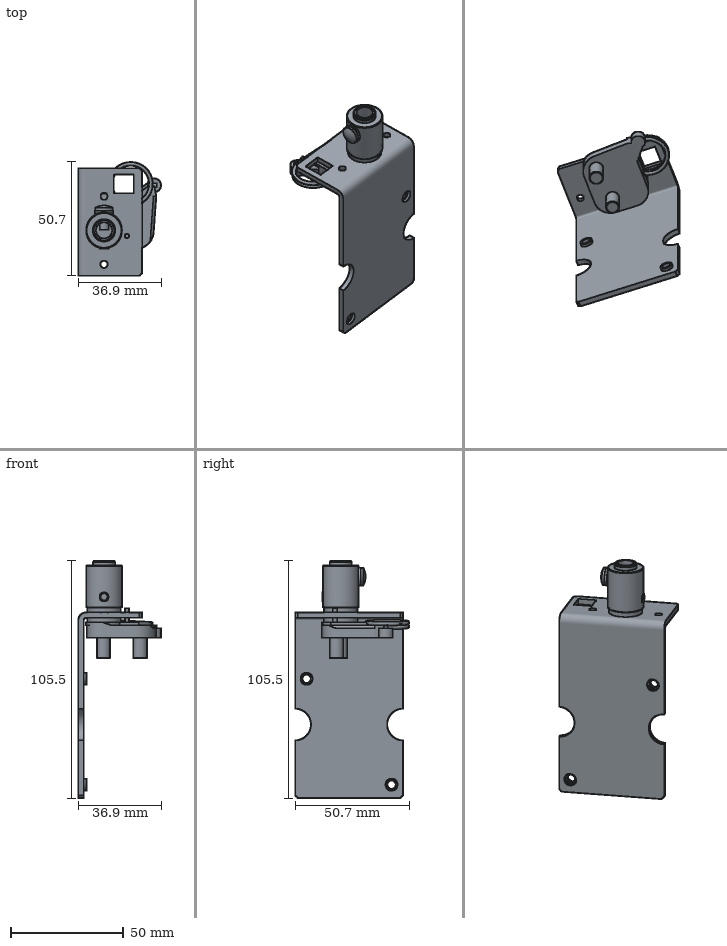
import cadquery as cq
import math


overall_height = 105.5
width = 48.0
half_width = width / 2
sheet = 2.5
bend_inner_radius = 1.0
bend_outer_radius = bend_inner_radius + sheet
flange_length = 28.4
corner_chamfer = 1.2

axis_x = 11.5
axis_y = -3.7
barrel_radius = 8.0
barrel_bottom = 2.35
barrel_top = 20.9
barrel_chamfer = 0.3
neck_radius = 7.5
nose_radius = 5.0
nose_top = 22.9
nose_chamfer = 0.5
bore_radius = 3.6
bore_floor = 11.9
washer_radius = 8.2

plate_bottom = nose_top - overall_height

cap_screw_z = 15.9
cap_head_radius = 3.95
cap_washer_radius = 4.05
cap_washer_top = 5.1
cap_seat_sink = 0.3
cap_head_seat = axis_y + barrel_radius - cap_seat_sink
cap_head_rim = 6.3
cap_dome_top = 7.4
cap_shank_radius = 2.0
cap_shank_end = -3.5
set_screw_z = 6.9
set_screw_radius = 2.0
set_screw_proud = 0.2
set_screw_length = 3.0
set_screw_socket_radius = 1.6
set_screw_socket_depth = 0.3

bolt_hole_radius = 1.55
bolt_hole_spacing = 30.2
window_x = (15.9, 24.7)
window_y = (12.9, 21.1)
index_pin_x = 21.7
index_pin_y = -6.2
index_pin_radius = 0.95
index_pin_top = 1.9

notch_radius = 7.0
notch_z = -49.9
nut_positions = ((-18.9, -29.55), (18.9, -76.65))
nut_radius = 2.7
nut_proud = 1.25
nut_hole_radius = 1.85
nut_recess_depth = 1.5

lever_bottom = -11.3
lever_top = -5.8
pad_top = -4.5
lever_south = -12.1
hub_x = 11.25
hub_radius = 7.45
lever_north = 12.7
corner_radius = 8.4
corner_x = 25.3
east_edge_end = (34.8, 11.4)
lug_x = 33.79
lug_y = 16.35
lug_radius = 3.1
lug_top = -7.0
lug_shoulder = (31.6, 17.9)
lever_knee_x = 24.4
lever_chamfer = 1.3
east_bevel_run_out = 6.0
pad_end_x = 27.0
ramp_end_x = 14.9
ramp_depth = 4.0

pin_bottom = -20.5
pin_chamfer = 0.3
outer_pin_x = 27.55
outer_pin_y = -5.6
pin_radii = (2.95, 3.1)
pin_positions = ((hub_x, axis_y), (outer_pin_x, outer_pin_y))

ring_x = 23.4
ring_y = 16.94
wire_radius = 0.85
ring_outer_radius = 9.8
ring_top = -3.75
coil_pitch = 1.65
ring_tilt = 3.0
peg_radius = 0.95
peg_start_x = 31.0
peg_length = 3.9
peg_z = -6.65


def cylinder_z(x, y, z_low, z_high, radius):
    return cq.Workplane("XY", origin=(x, y, z_low)).circle(radius).extrude(z_high - z_low)


def cylinder_x(x, y, z, length, radius):
    return cq.Workplane("YZ", origin=(x, y, z)).circle(radius).extrude(length)


def cylinder_y(x, y_low, y_high, z, radius):
    return cq.Workplane("XZ", origin=(x, y_high, z)).circle(radius).extrude(y_high - y_low)


def block(x_range, y_range, z_range):
    size = [high - low for low, high in (x_range, y_range, z_range)]
    corner = (x_range[0], y_range[0], z_range[0])
    return cq.Workplane("XY", origin=corner).box(*size, centered=False)


def make_bracket():
    profile = (
        cq.Workplane("XZ", origin=(0, half_width, 0))
        .moveTo(0, plate_bottom)
        .lineTo(0, -bend_outer_radius)
        .radiusArc((bend_outer_radius, 0), bend_outer_radius)
        .lineTo(flange_length, 0)
        .lineTo(flange_length, -sheet)
        .lineTo(bend_outer_radius, -sheet)
        .radiusArc((sheet, -bend_outer_radius), -bend_inner_radius)
        .lineTo(sheet, plate_bottom)
        .close()
        .extrude(width)
    )
    bracket = profile.faces(">X").edges("|Z").chamfer(corner_chamfer)
    bracket = bracket.faces("<Z").edges("|X").chamfer(corner_chamfer)
    for side in (-1, 1):
        bracket = bracket.cut(cylinder_x(0, side * half_width, notch_z, sheet, notch_radius))
        hole_y = axis_y + side * bolt_hole_spacing / 2
        bracket = bracket.cut(cylinder_z(axis_x, hole_y, -sheet, 0, bolt_hole_radius))
    bracket = bracket.cut(block(window_x, window_y, (-sheet, 0)))
    for y, z in nut_positions:
        bracket = bracket.union(cylinder_x(sheet, y, z, nut_proud, nut_radius))
        bracket = bracket.cut(cylinder_x(0, y, z, nut_recess_depth, nut_radius))
        bracket = bracket.cut(cylinder_x(0, y, z, sheet + nut_proud, nut_hole_radius))
    return bracket


def make_cap_screw():
    rise = cap_dome_top - cap_head_rim
    dome_radius = (cap_head_radius**2 + rise**2) / (2 * rise)
    head = (
        cq.Workplane("XY", origin=(axis_x, 0, cap_screw_z))
        .moveTo(0, cap_head_seat)
        .lineTo(cap_head_radius, cap_head_seat)
        .lineTo(cap_head_radius, cap_head_rim)
        .radiusArc((0, cap_dome_top), -dome_radius)
        .close()
        .revolve(360, (0, 0, 0), (0, 1, 0))
    )
    shank = cylinder_y(axis_x, cap_shank_end, cap_head_seat, cap_screw_z, cap_shank_radius)
    washer = cylinder_y(axis_x, cap_head_seat, cap_washer_top, cap_screw_z, cap_washer_radius)
    return head.union(shank).union(washer)


def make_set_screw():
    tip = axis_y - barrel_radius - set_screw_proud
    screw = cylinder_y(axis_x, tip, tip + set_screw_length, set_screw_z, set_screw_radius)
    socket_end = tip + set_screw_socket_depth
    return screw.cut(cylinder_y(axis_x, tip, socket_end, set_screw_z, set_screw_socket_radius))


def make_barrel():
    neck = cylinder_z(axis_x, axis_y, pad_top, barrel_bottom, neck_radius)
    neck = neck.faces(">Z").edges().chamfer(barrel_chamfer)
    body = cylinder_z(axis_x, axis_y, barrel_bottom, barrel_top, barrel_radius)
    body = body.faces(">Z").edges().chamfer(barrel_chamfer)
    nose = cylinder_z(axis_x, axis_y, barrel_top, nose_top, nose_radius)
    nose = nose.faces(">Z").edges().chamfer(nose_chamfer)
    washer = cylinder_z(axis_x, axis_y, lever_top, pad_top, washer_radius)
    barrel = neck.union(body).union(nose).union(washer)
    barrel = barrel.cut(cylinder_z(axis_x, axis_y, bore_floor, nose_top, bore_radius))
    return barrel.union(make_cap_screw()).union(make_set_screw())


def lever_outline(z):
    diagonal = math.sqrt(0.5)
    south_y = lever_south + hub_radius
    north_y = lever_north - hub_radius
    corner_y = lever_south + corner_radius
    return (
        cq.Workplane("XY", origin=(0, 0, z))
        .moveTo(hub_x, lever_south)
        .lineTo(corner_x, lever_south)
        .threePointArc(
            (corner_x + corner_radius * diagonal, corner_y - corner_radius * diagonal),
            (corner_x + corner_radius, corner_y),
        )
        .lineTo(*east_edge_end)
        .lineTo(lug_x, lug_y)
        .lineTo(*lug_shoulder)
        .lineTo(lever_knee_x, lever_north)
        .lineTo(hub_x, lever_north)
        .radiusArc((hub_x - hub_radius, north_y), -hub_radius)
        .lineTo(hub_x - hub_radius, south_y)
        .radiusArc((hub_x, lever_south), -hub_radius)
        .close()
    )


def bevel(start, end, run_out=0):
    """Wedge that bevels the lever's top edge; the lever lies to the left going from start to end.

    The wedge begins run_out before the start point, along the same line.
    """
    run = cq.Vector(end[0] - start[0], end[1] - start[1], 0)
    outward = cq.Vector(run.y, -run.x, 0)
    plane = cq.Plane(origin=(start[0], start[1], lever_top), xDir=outward, normal=run)
    corners = [
        (-lever_chamfer, 0),
        (lever_chamfer, 0),
        (lever_chamfer, 2 * lever_chamfer),
    ]
    wedge = cq.Workplane(plane).workplane(offset=-run_out).polyline(corners).close()
    return wedge.extrude(run.Length + run_out)


def make_lever():
    lever = lever_outline(lever_bottom).extrude(lever_top - lever_bottom)
    east_start = (corner_x + corner_radius, lever_south + corner_radius)
    lever = lever.cut(bevel(east_start, east_edge_end, east_bevel_run_out))
    lever = lever.cut(bevel(lug_shoulder, (lever_knee_x, lever_north)))
    lug = cylinder_z(lug_x, lug_y, lever_bottom, lug_top, lug_radius)

    pad_start_x = hub_x - hub_radius
    ramp_y = lever_south + ramp_depth
    strip = (
        cq.Workplane("XZ", origin=(0, ramp_y, 0))
        .polyline([
            (pad_start_x, lever_top),
            (pad_start_x, pad_top),
            (hub_x, pad_top),
            (ramp_end_x, lever_top),
        ])
        .close()
        .extrude(ramp_depth)
    )
    flat = block((pad_start_x, pad_end_x), (ramp_y, lever_north), (lever_top, pad_top))
    pad = lever_outline(lever_top).extrude(pad_top - lever_top).intersect(strip.union(flat))
    return lever.union(lug).union(pad)


def make_pins():
    pins = cylinder_z(index_pin_x, index_pin_y, lever_top, index_pin_top, index_pin_radius)
    for (x, y), radius in zip(pin_positions, pin_radii):
        pin = cylinder_z(x, y, pin_bottom, lever_bottom, radius)
        pins = pins.union(pin.faces("<Z").edges().chamfer(pin_chamfer))
    return pins


def make_ring():
    coil_radius = ring_outer_radius - wire_radius
    coils = cylinder_x(peg_start_x, lug_y, peg_z, peg_length, peg_radius)
    for turn in range(2):
        coil_z = ring_top - wire_radius - turn * coil_pitch
        solid = cq.Solid.makeTorus(coil_radius, wire_radius, cq.Vector(0, 0, 0), cq.Vector(0, 0, 1))
        coil = cq.Workplane(solid).rotate((0, 0, 0), (0, 1, 0), ring_tilt)
        coils = coils.union(coil.translate((ring_x, ring_y, coil_z)))
    return coils


result = (
    make_bracket()
    .union(make_barrel())
    .union(make_lever())
    .union(make_pins())
    .union(make_ring())
)